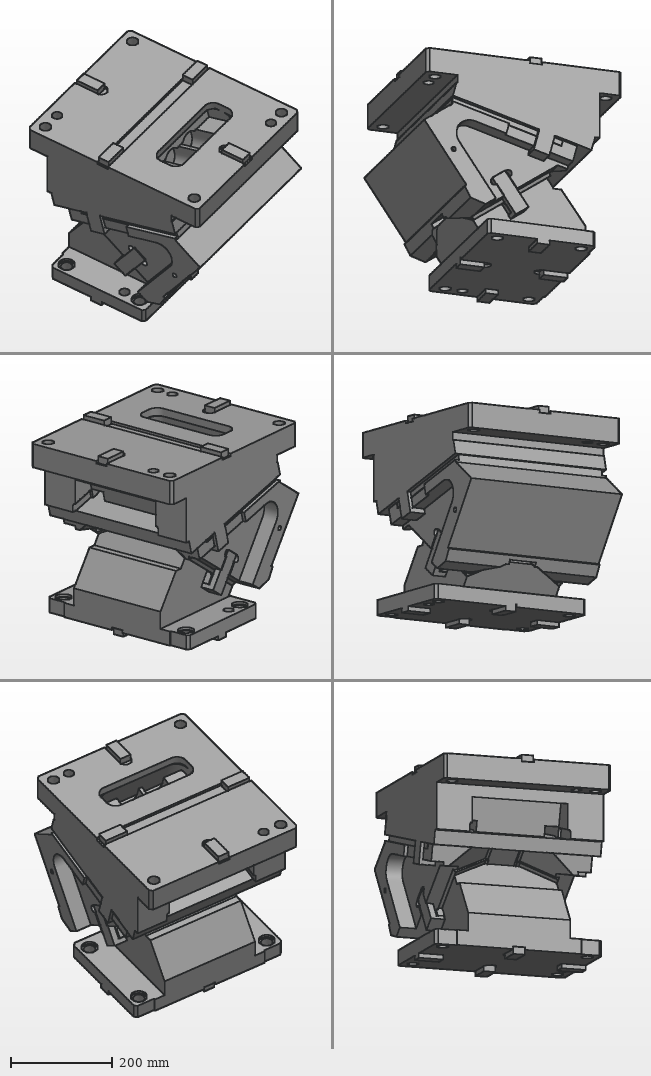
import cadquery as cq
import math

WIDTH = 350.0
HALF = WIDTH / 2
HEIGHT = 393.0
CORNER_CHAMFER = 6.0
KEY_HEIGHT = 9.0
KEY_LENGTH = 50.7
KEY_WIDTH = 24.0
GROOVE_WIDTH = 25.8
GROOVE_DEPTH = 5.5
END_GROOVE_LENGTH = 68.0
BOLT_Y = 150.5
BOLT_D = 23.3
DOWEL_D = 21.0
BEYOND = 499

HOUSING_TILT = 15
BASE_TILT = 35
WEDGE = math.radians(HOUSING_TILT + BASE_TILT)

TOP_Z = HEIGHT - KEY_HEIGHT
PLATE_LENGTH = 410.5
PLATE_THICK = 50
PLATE_BOTTOM = TOP_Z - PLATE_THICK
BODY_LEFT = 46.5
BODY_RIGHT = 346.0
NOSE_Z = 239.5
NOSE_U = 116.5
HEEL_Z = 318.0
HEEL_U = 418.5
SEAT_V = 187.5
HOUSING_BOLT_X = (25.5, 384.5)
HOUSING_DOWELS = ((25.5, -110.2), (384.5, 114.5))
CROSS_KEY_X = 167.5
KEY_INSET = 4.5
HOOK_U = (196.5, 230.0)
HOOK_V = 142.5

WINDOW_HALF = 100.2
WINDOW_V = (216.5, 287.0)
WINDOW_END_U = 168.0
NOTCH_Y = 71.5
NOTCH_END_U = 258
NOTCH_TOP_V = 238.5
NOTCH_RAMP_U = (179.5, 189.0)
NOTCH_FLOOR_V = 219.0
MOUTH_HALF = 105.5
MOUTH_TOP_V = 236.5
MOUTH_FILLET = 5.0

SLOT_X = (249.0, 310.5)
SLOT_DEPTH = 16.5
SLOT_RADIUS = 20.0
POCKET_U = (323.5, 395.0)
POCKET_TOP_V = 299.5
POCKET_RADIUS = 26.5
SHELF_V = 261.0
TROUGH_Y = 30.0
TROUGH_V = 244.5
TROUGH_RADIUS = 25.8
TROUGH_U = (307.8, 381.8)
TRENCH_V = 216.5

SLIDER_LEFT_U = 145.0
SLIDER_RIGHT_U = 415.0
NOSE_BOTTOM_V = 145.5
SLIDER_BOTTOM_T = 221.0
SLIDER_RIGHT_S = 208.5
TIP_T = 427.5
TOE_START_S = 195.5
TOE_LOW_ST = (216.0, 247.0)
TOE_TOP_ST = (213.0, 273.2)
NARROW_HALF = 167.5
NARROW_END_U = 292.8
LEDGE_HALF = 166.5
LEDGE_U = 176.0
LEDGE_V = 175.5
RECESS_HALF = 141.0
RECESS_TOP_V = 153.0
RECESS_S = 169.3
RECESS_RADIUS = 30.8
SIDE_HOLE_XZ = (354.0, 176.5)
SIDE_HOLE_D = 9.0
SIDE_HOLE_DEPTH = 12.5

ROOF_HALF = 107.5
RIDGE_HALF = 36.0
EAVES_T = 213.5
ROOF_SLOPE = math.tan(math.radians(30))
RIDGE_T = EAVES_T + (ROOF_HALF - RIDGE_HALF) * ROOF_SLOPE
GUIDE_S = (4.0, 202.0)
GUIDE_CLEARANCE = 5.0
RIDGE_GAP_HALF = 30.0
RIDGE_GAP = 9.5

BAR_S = (99.5, 132.3)
BAR_T = (177.5, 264.0)
BAR_Y = (125.5, 139.0)
FOOT_Y = 109.5
FOOT_TOP_T = 187.0
RELIEF_RADIUS = 6.5
RELIEF_OVERLAP = 2.5
RELIEF_DROP = 8.5
LUG_Y = 121.5
LUG_S = (102.0, 129.8)
LUG_TOP_T = 212
LUG_CHAMFER = 6.5

BASE_LEFT = 52.0
BASE_RIGHT = 281.0
BASE_TOP = 39.5
PAD_LEFT = 55.0
PAD_HALF = 130.5
FRONT_TOP = 76.0
SHOULDER_X = 103.0
SHOULDER_Z = 147.0
BASE_S = (13.5, 203.5)
BASE_CROSS_KEY_X = 152.2
BASE_BOLT_X = (77.5, 253.5)
BASE_BOLT_Y = 152.0
BASE_DOWEL = (217.0, -152.0)
CBORE_D = 32.5
CBORE_DEPTH = 5.5


def tilted(shape, angle):
    """Turns a shape about the Y axis; a positive angle lifts its +X end."""
    return shape.rotate((0, 0, 0), (0, 1, 0), -angle)


def block(x, y, z):
    """A box given by its (from, to) ranges."""
    box = cq.Workplane("XY").box(x[1] - x[0], y[1] - y[0], z[1] - z[0], centered=False)
    return box.translate((x[0], y[0], z[0]))


def housing_block(u, y, v):
    return tilted(block(u, y, v), HOUSING_TILT)


def base_block(s, y, t):
    return tilted(block(s, y, t), -BASE_TILT)


def mirrored(shape):
    """A shape on the +Y side together with its mirror image."""
    return shape.union(shape.mirror("XZ"))


def prism(points, half_width):
    """An XZ outline carried to both sides of the middle plane."""
    return cq.Workplane("XZ").polyline(points).close().extrude(half_width, both=True)


def at_uv(u, v):
    """The (x, z) of a point in the housing frame."""
    a = math.radians(HOUSING_TILT)
    return (u * math.cos(a) - v * math.sin(a), u * math.sin(a) + v * math.cos(a))


def at_st(s, t):
    """The (x, z) of a point in the base frame."""
    a = math.radians(BASE_TILT)
    return (s * math.cos(a) + t * math.sin(a), t * math.cos(a) - s * math.sin(a))


def at_sz(s, z):
    """The (x, z) where the line of constant s reaches height z."""
    a = math.radians(BASE_TILT)
    return at_st(s, (z + s * math.sin(a)) / math.cos(a))


def at_uz(u, z):
    """The (x, z) where the line of constant u reaches height z."""
    a = math.radians(HOUSING_TILT)
    return ((u - z * math.sin(a)) / math.cos(a), z)


def at_vt(v, t):
    """The (x, z) where a housing-frame v meets a base-frame t."""
    return at_st((t * math.cos(WEDGE) - v) / math.sin(WEDGE), t)


def at_ut(u, t):
    """The (x, z) where a housing-frame u meets a base-frame t."""
    return at_st((u - t * math.sin(WEDGE)) / math.cos(WEDGE), t)


def at_vs(v, s):
    """The (x, z) where a housing-frame v meets a base-frame s."""
    return at_st(s, (v + s * math.sin(WEDGE)) / math.cos(WEDGE))


def roof(s, half_width, lift):
    """The space under the roof guide, its planes carried out to half_width and lifted."""
    eaves = EAVES_T + lift - (half_width - ROOF_HALF) * ROOF_SLOPE
    ridge = RIDGE_T + lift
    section = [
        (-half_width, -BEYOND),
        (half_width, -BEYOND),
        (half_width, eaves),
        (RIDGE_HALF, ridge),
        (-RIDGE_HALF, ridge),
        (-half_width, eaves),
    ]
    solid = cq.Workplane("YZ").polyline(section).close().extrude(s[1] - s[0]).translate((s[0], 0, 0))
    return tilted(solid, -BASE_TILT)


def cross_keys(left, width, edge, z):
    """The two keys that lie along Y, each ending at the given distance from the middle plane."""
    return mirrored(block((left, left + width), (edge - KEY_LENGTH, edge), z))


def end_key(left, z):
    """A key along X, set against the -Y wall of its groove."""
    return block((left, left + KEY_LENGTH), (-GROOVE_WIDTH / 2, KEY_WIDTH - GROOVE_WIDTH / 2), z)


def end_groove(edge_x, bottom):
    """A round-ended key groove that reaches in along X from an edge, on either side of it."""
    groove = cq.Workplane("XY", origin=(edge_x, 0, bottom)).slot2D(2 * END_GROOVE_LENGTH, GROOVE_WIDTH)
    return groove.extrude(GROOVE_DEPTH)


def vertical_holes(points, diameter, z):
    holes = cq.Workplane("XY").pushPoints(points).circle(diameter / 2).extrude(z[1] - z[0])
    return holes.translate((0, 0, z[0]))


def trough():
    """A round-bottomed spring trough along u, in the untilted housing frame."""
    round_bottom = cq.Workplane("YZ").center(TROUGH_Y, TROUGH_V).circle(TROUGH_RADIUS)
    round_bottom = round_bottom.extrude(TROUGH_U[1] - TROUGH_U[0]).translate((TROUGH_U[0], 0, 0))
    sides = (TROUGH_Y - TROUGH_RADIUS, TROUGH_Y + TROUGH_RADIUS)
    return round_bottom.union(block(TROUGH_U, sides, (TROUGH_V, SHELF_V)))


def make_housing():
    plate = block((0, PLATE_LENGTH), (-HALF, HALF), (PLATE_BOTTOM, TOP_Z))
    plate = plate.edges("|Z").chamfer(CORNER_CHAMFER)
    body = prism(
        [
            (BODY_LEFT, PLATE_BOTTOM),
            (BODY_LEFT, NOSE_Z),
            at_uz(NOSE_U, NOSE_Z),
            at_uv(NOSE_U, SEAT_V),
            at_uv(HEEL_U, SEAT_V),
            at_uz(HEEL_U, HEEL_Z),
            (BODY_RIGHT, HEEL_Z),
            (BODY_RIGHT, PLATE_BOTTOM),
        ],
        HALF,
    )
    housing = plate.union(body)

    housing = housing.union(mirrored(housing_block(HOOK_U, (NARROW_HALF, HALF), (HOOK_V, SEAT_V))))
    housing = housing.union(mirrored(housing_block(HOOK_U, (RECESS_HALF, HALF), (HOOK_V, RECESS_TOP_V))))

    window = housing_block((0, WINDOW_END_U), (-WINDOW_HALF, WINDOW_HALF), WINDOW_V)
    mouth = block((0, WINDOW_END_U), (-MOUTH_HALF, MOUTH_HALF), (WINDOW_V[0], MOUTH_TOP_V))
    mouth = tilted(mouth.edges("|X and >Z").fillet(MOUTH_FILLET), HOUSING_TILT)
    notch_outline = [
        at_uv(WINDOW_END_U, WINDOW_V[0]),
        at_uv(NOTCH_RAMP_U[0], WINDOW_V[0]),
        at_uv(NOTCH_RAMP_U[1], NOTCH_FLOOR_V),
        at_uv(NOTCH_END_U, NOTCH_FLOOR_V),
        at_uv(NOTCH_END_U, NOTCH_TOP_V),
        at_uv(WINDOW_END_U, NOTCH_TOP_V),
    ]
    between_notches = block((0, BEYOND), (-NOTCH_Y, NOTCH_Y), (0, BEYOND))
    notches = prism(notch_outline, WINDOW_HALF).cut(between_notches)
    housing = housing.cut(window).cut(mouth).cut(notches)

    slot = block(SLOT_X, (-WINDOW_HALF, WINDOW_HALF), (TOP_Z - SLOT_DEPTH, TOP_Z))
    slot = slot.edges("|Z").fillet(SLOT_RADIUS)
    pocket = block(POCKET_U, (-WINDOW_HALF, WINDOW_HALF), (TRENCH_V, POCKET_TOP_V))
    pocket = pocket.edges("|Z and >X").fillet(POCKET_RADIUS)
    pocket = pocket.cut(block((POCKET_U[0], TROUGH_U[1]), (-WINDOW_HALF, WINDOW_HALF), (TRENCH_V, SHELF_V)))
    pocket = pocket.union(mirrored(trough()))
    below_slot = block((0, PLATE_LENGTH), (-HALF, HALF), (0, TOP_Z - SLOT_DEPTH))
    housing = housing.cut(slot).cut(tilted(pocket, HOUSING_TILT).intersect(below_slot))

    groove_z = (TOP_Z - GROOVE_DEPTH, TOP_Z)
    housing = housing.cut(block((CROSS_KEY_X, CROSS_KEY_X + GROOVE_WIDTH), (-HALF, HALF), groove_z))
    for edge_x in (0, PLATE_LENGTH):
        housing = housing.cut(end_groove(edge_x, groove_z[0]))

    key_z = (groove_z[0], HEIGHT)
    housing = housing.union(cross_keys(CROSS_KEY_X, KEY_WIDTH, HALF - KEY_INSET, key_z))
    for left in (KEY_INSET, PLATE_LENGTH - KEY_INSET - KEY_LENGTH):
        housing = housing.union(end_key(left, key_z))

    hole_z = (PLATE_BOTTOM, TOP_Z)
    bolts = [(x, y) for x in HOUSING_BOLT_X for y in (-BOLT_Y, BOLT_Y)]
    housing = housing.cut(vertical_holes(bolts, BOLT_D, hole_z))
    return housing.cut(vertical_holes(HOUSING_DOWELS, DOWEL_D, hole_z))


def make_slider():
    slider = prism(
        [
            at_uv(SLIDER_LEFT_U, SEAT_V),
            at_uv(SLIDER_LEFT_U, NOSE_BOTTOM_V),
            at_vt(NOSE_BOTTOM_V, SLIDER_BOTTOM_T),
            at_st(TOE_START_S, SLIDER_BOTTOM_T),
            at_st(*TOE_LOW_ST),
            at_st(*TOE_TOP_ST),
            at_st(SLIDER_RIGHT_S, TOE_TOP_ST[1]),
            at_st(SLIDER_RIGHT_S, TIP_T),
            at_ut(SLIDER_RIGHT_U, TIP_T),
            at_uv(SLIDER_RIGHT_U, SEAT_V),
        ],
        HALF,
    )

    slider = slider.cut(mirrored(housing_block((0, NARROW_END_U), (NARROW_HALF, HALF), (RECESS_TOP_V, SEAT_V))))
    slider = slider.cut(mirrored(housing_block((LEDGE_U, BEYOND), (LEDGE_HALF, HALF), (LEDGE_V, SEAT_V))))

    recess = prism(
        [
            at_vs(RECESS_TOP_V, RECESS_S),
            at_uv(0, RECESS_TOP_V),
            (0, 0),
            at_st(RECESS_S, 0),
        ],
        HALF,
    )
    recess = recess.edges("|Y").edges(">X").fillet(RECESS_RADIUS)
    inner = block((0, BEYOND), (-RECESS_HALF, RECESS_HALF), (0, BEYOND))
    slider = slider.cut(recess.cut(inner))

    plate_drop = SLIDER_BOTTOM_T - EAVES_T
    plate_half = ROOF_HALF + plate_drop * ROOF_SLOPE
    lip = (
        cq.Workplane("YZ")
        .polyline(
            [
                (-ROOF_HALF, EAVES_T),
                (ROOF_HALF, EAVES_T),
                (plate_half, SLIDER_BOTTOM_T),
                (-plate_half, SLIDER_BOTTOM_T),
            ]
        )
        .close()
        .extrude(GUIDE_S[1] - GUIDE_S[0])
        .translate((GUIDE_S[0], 0, 0))
    )
    slider = slider.union(tilted(lip, -BASE_TILT))
    slider = slider.cut(roof((GUIDE_S[0], BEYOND), ROOF_HALF, 0))
    slider = slider.cut(roof((-BEYOND, GUIDE_S[0]), HALF, GUIDE_CLEARANCE))
    ridge_gap = base_block((-BEYOND, BEYOND), (-RIDGE_GAP_HALF, RIDGE_GAP_HALF), (0, RIDGE_T + RIDGE_GAP))
    slider = slider.cut(ridge_gap)

    relief_t = BAR_T[1] - RELIEF_DROP
    for s in (BAR_S[0] - RELIEF_OVERLAP, BAR_S[1] + RELIEF_OVERLAP):
        relief = (
            cq.Workplane("XZ", origin=(0, RECESS_HALF, 0))
            .center(*at_st(s, relief_t))
            .circle(RELIEF_RADIUS)
            .extrude(RECESS_HALF - BAR_Y[0])
        )
        slider = slider.cut(mirrored(relief))
    bar_seat = base_block(BAR_S, (BAR_Y[0], RECESS_HALF), BAR_T)
    slider = slider.cut(mirrored(bar_seat))
    bar = base_block(BAR_S, BAR_Y, BAR_T)
    foot = base_block(BAR_S, (FOOT_Y, BAR_Y[1]), (BAR_T[0], FOOT_TOP_T))
    slider = slider.union(mirrored(bar.union(foot)))

    side_hole = (
        cq.Workplane("XZ", origin=(0, HALF, 0))
        .center(*SIDE_HOLE_XZ)
        .circle(SIDE_HOLE_D / 2)
        .extrude(SIDE_HOLE_DEPTH)
    )
    return slider.cut(mirrored(side_hole))


def make_base():
    pads = block((PAD_LEFT, BASE_RIGHT), (-HALF, HALF), (KEY_HEIGHT, BASE_TOP))
    pads = pads.edges("|Z").chamfer(CORNER_CHAMFER)
    middle = block((BASE_LEFT, BASE_RIGHT), (-PAD_HALF, PAD_HALF), (KEY_HEIGHT, BASE_TOP))
    body = prism(
        [
            (BASE_LEFT, BASE_TOP),
            (BASE_LEFT, FRONT_TOP),
            (SHOULDER_X, SHOULDER_Z),
            at_sz(BASE_S[0], SHOULDER_Z),
            at_st(BASE_S[0], RIDGE_T),
            at_st(BASE_S[1], RIDGE_T),
            at_sz(BASE_S[1], BASE_TOP),
        ],
        ROOF_HALF,
    ).intersect(roof((-BEYOND, BEYOND), ROOF_HALF, 0))
    base = pads.union(middle).union(body)

    lug = block(LUG_S, (ROOF_HALF, LUG_Y), (FOOT_TOP_T, LUG_TOP_T))
    lug = lug.edges("|X and >Y and >Z").chamfer(LUG_CHAMFER)
    base = base.union(mirrored(tilted(lug, -BASE_TILT)))

    base = base.union(cross_keys(BASE_CROSS_KEY_X, GROOVE_WIDTH, HALF, (0, KEY_HEIGHT)))
    for edge_x in (BASE_LEFT, BASE_RIGHT):
        base = base.cut(end_groove(edge_x, KEY_HEIGHT))
    for left in (PAD_LEFT, BASE_RIGHT - KEY_LENGTH):
        base = base.union(end_key(left, (0, KEY_HEIGHT + GROOVE_DEPTH)))

    hole_z = (KEY_HEIGHT, BASE_TOP)
    bolts = [(x, y) for x in BASE_BOLT_X for y in (-BASE_BOLT_Y, BASE_BOLT_Y)]
    base = base.cut(vertical_holes(bolts, BOLT_D, hole_z))
    base = base.cut(vertical_holes(bolts, CBORE_D, (BASE_TOP - CBORE_DEPTH, BASE_TOP)))
    return base.cut(vertical_holes([BASE_DOWEL], DOWEL_D, hole_z))


housing = make_housing()
slider = make_slider()
base = make_base()

result = cq.Compound.makeCompound([body.solids().val() for body in (housing, slider, base)])